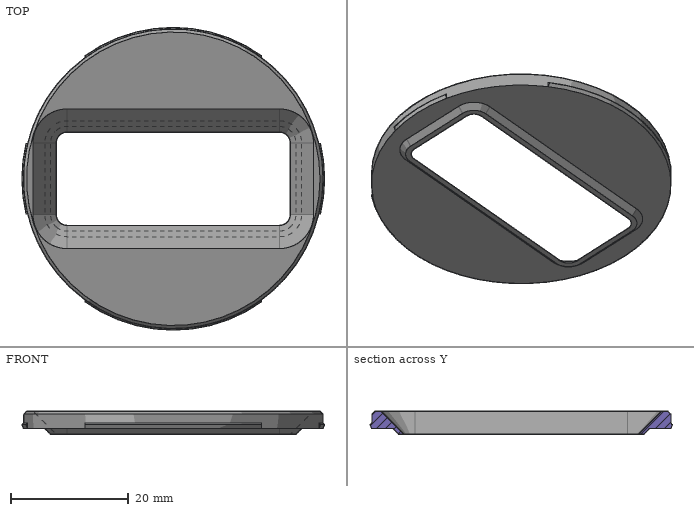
import cadquery as cq

disc_diameter = 51.2
disc_thickness = 3.0
rim_chamfer = 0.5

total_height = 4.0
lip_height = total_height - disc_thickness
window_length = 39.95
window_width = 15.9
window_corner_radius = 1.8
lip_width = 1.0

tab_diameter = 51.75
tab_height = 1.0
tab_crest_height = 0.65
long_tab_length = 30.15
short_tab_length = 12.1

disc_radius = disc_diameter / 2
tab_radius = tab_diameter / 2


def rounded_rectangle(offset, z):
    """Wire of the window outline grown outward by offset, at height z."""
    outline = (
        cq.Sketch()
        .rect(window_length + 2 * offset, window_width + 2 * offset)
        .vertices()
        .fillet(window_corner_radius + offset)
    )
    slab = cq.Workplane("XY", origin=(0, 0, z)).placeSketch(outline).extrude(total_height)
    return slab.faces("<Z").wires().val()


def funnel(bottom_offset, height):
    """Solid that widens at 45 degrees from z = 0 up to the given height."""
    bottom = rounded_rectangle(bottom_offset, 0)
    top = rounded_rectangle(bottom_offset + height, height)
    return cq.Workplane(cq.Solid.makeLoft([bottom, top], True))


def snap_tabs():
    """Ring with a pointed crest, kept only where the four tabs sit."""
    ring = (
        cq.Workplane("XZ")
        .moveTo(0, lip_height)
        .lineTo(disc_radius, lip_height)
        .lineTo(tab_radius, lip_height + tab_crest_height)
        .lineTo(disc_radius, lip_height + tab_height)
        .lineTo(0, lip_height + tab_height)
        .close()
        .revolve(360, (0, 0, 0), (0, 1, 0))
    )
    bars = (
        cq.Workplane("XY")
        .box(long_tab_length, tab_diameter, 2 * total_height)
        .union(cq.Workplane("XY").box(tab_diameter, short_tab_length, 2 * total_height))
    )
    return ring.intersect(bars)


disc = (
    cq.Workplane("XY", origin=(0, 0, lip_height))
    .circle(disc_radius)
    .extrude(disc_thickness)
    .faces(">Z")
    .edges()
    .chamfer(rim_chamfer)
)
lip = funnel(lip_width, lip_height)
window = funnel(0, total_height)

result = disc.union(snap_tabs()).union(lip).cut(window)